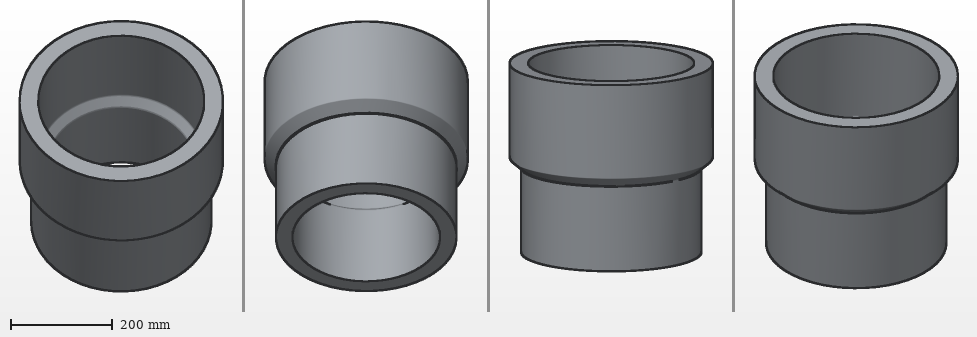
import cadquery as cq

height = 380.0
socket_outer_radius = 200.0
spigot_outer_radius = 177.5

socket_bore_radius = 163.0
spigot_bore_radius = 145.0

outer_taper_bottom = 171.5
outer_taper_top = 191.0
inner_taper_bottom = 174.5
inner_taper_top = 190.5

outer_rounding = 2.5
inner_rounding = 5.0


def revolved_taper(lower_radius, upper_radius, taper_bottom, taper_top, rounding):
    """Two stacked cylinders joined by a taper, with both ends of the taper rounded."""
    half_section = [
        (0, 0),
        (lower_radius, 0),
        (lower_radius, taper_bottom),
        (upper_radius, taper_top),
        (upper_radius, height),
        (0, height),
    ]
    solid = cq.Workplane("XZ").polyline(half_section).close().revolve(360, (0, 0), (0, 1))

    taper_edges = solid.edges("%CIRCLE").edges("not (<Z or >Z)")
    return taper_edges.fillet(rounding)


outside = revolved_taper(
    spigot_outer_radius, socket_outer_radius, outer_taper_bottom, outer_taper_top, outer_rounding
)
bore = revolved_taper(
    spigot_bore_radius, socket_bore_radius, inner_taper_bottom, inner_taper_top, inner_rounding
)

result = outside.cut(bore)